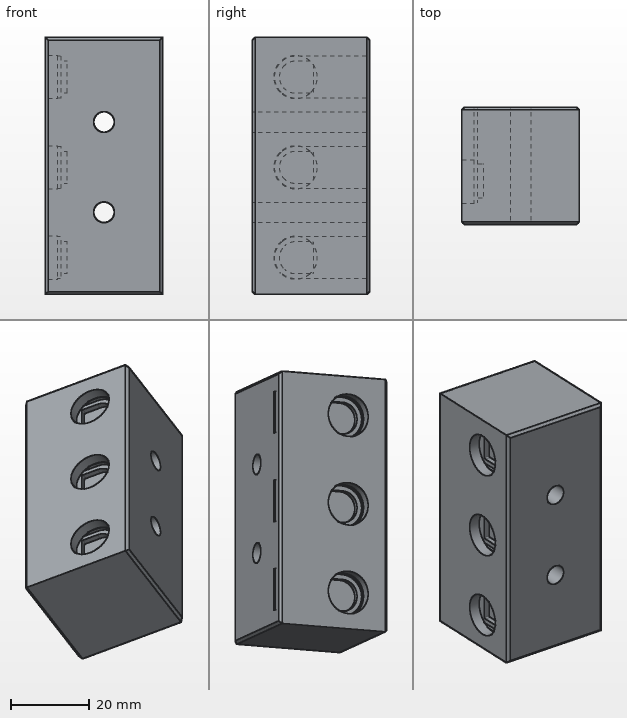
import cadquery as cq

side = 30.0
height = 65.6
edge_chamfer = 0.7

pocket_count = 3
pocket_pitch = 23.0
pocket_y = -4.0
row_centre_z = -0.3

window_diameter = 11.0
window_depth = 3.0
slot_width = 10.7
slot_thickness = 0.9
recess_width = 8.2
recess_depth = 1.5
recess_flat_distance = 4.5
recess_corner_radius = 0.3

cross_hole_diameter = 5.2

pocket_face_x = -side / 2
slot_length = side / 2 - pocket_y
recess_start_depth = window_depth + slot_thickness


def row_heights(count):
    """Z positions of evenly pitched features centred on the row."""
    lowest = row_centre_z - (count - 1) * pocket_pitch / 2
    return [lowest + i * pocket_pitch for i in range(count)]


def make_block():
    block = cq.Workplane("XY").box(side, side, height)
    return block.faces("<Y or >Y").chamfer(edge_chamfer)


def pocket_plane(z, depth):
    """Plane parallel to the -X face, centred on a pocket, at a depth inside the block."""
    return cq.Workplane("YZ", origin=(pocket_face_x + depth, pocket_y, z))


def half_round_body(plane, width, flat_distance, thickness):
    """Body with a half-round end towards -Y and a flat end towards +Y."""
    radius = width / 2
    return (
        plane.moveTo(flat_distance, -radius)
        .lineTo(0, -radius)
        .threePointArc((-radius, 0), (0, radius))
        .lineTo(flat_distance, radius)
        .close()
        .extrude(thickness)
    )


def make_pocket(z):
    window = pocket_plane(z, 0).circle(window_diameter / 2).extrude(window_depth)
    slot = half_round_body(pocket_plane(z, window_depth), slot_width, slot_length, slot_thickness)
    recess = half_round_body(
        pocket_plane(z, recess_start_depth), recess_width, recess_flat_distance, recess_depth
    )
    recess = recess.faces(">Y").edges("|X").fillet(recess_corner_radius)
    return window.union(slot).union(recess)


def make_cross_hole(z):
    start = cq.Workplane("XZ", origin=(0, side / 2, z))
    return start.circle(cross_hole_diameter / 2).extrude(side)


result = make_block()
for pocket_z in row_heights(pocket_count):
    result = result.cut(make_pocket(pocket_z))
for hole_z in row_heights(pocket_count - 1):
    result = result.cut(make_cross_hole(hole_z))